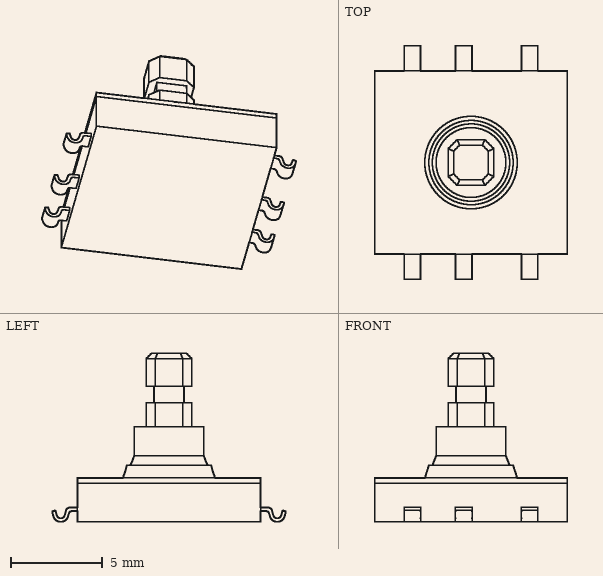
import cadquery as cq
import math

body_length_x = 10.5
body_width_y = 10.0
housing_height = 2.1
cover_top = 2.4

collar_base_diameter = 5.05
collar_top_diameter = 4.6
collar_top = 3.1

skirt_diameter = 4.22
barrel_diameter = 3.81
skirt_top = 3.61
barrel_top = 5.2
head_width = 2.5
head_corner_chamfer = 0.5
head_top_chamfer = 0.3
waist_width = 1.65
waist_bottom = 6.5
waist_top = 7.4
stem_top = 9.2

terminal_width = 0.9
terminal_reach = 1.38
terminal_thickness = 0.2
terminal_positions_x = (-3.2, -0.4, 3.2)
arm_top = 0.79
bowl_offset = 0.9
bowl_outer_radius = 0.42
flank_angle = math.radians(74)
bend_top_radius = 0.22
bend_bottom_radius = 0.17
tip_round = 0.05


def make_housing():
    return cq.Workplane("XY").box(body_length_x, body_width_y, housing_height, centered=(True, True, False))


def make_cover():
    """Flat plate with a solid tapered collar in its middle."""
    plate = (
        cq.Workplane("XY", origin=(0, 0, housing_height))
        .box(body_length_x, body_width_y, cover_top - housing_height, centered=(True, True, False))
    )
    collar = (
        cq.Workplane("XY", origin=(0, 0, cover_top))
        .circle(collar_base_diameter / 2)
        .workplane(offset=collar_top - cover_top)
        .circle(collar_top_diameter / 2)
        .loft()
    )
    return plate.union(collar)


def square_prism(width, bottom, top):
    """Square prism centred on the stem axis."""
    return cq.Workplane("XY", origin=(0, 0, bottom)).rect(width, width).extrude(top - bottom)


def make_stem():
    """Flared skirt and barrel, carrying a head that is cut back to a narrow waist."""
    round_base = (
        cq.Workplane("XZ")
        .moveTo(0, collar_top)
        .lineTo(skirt_diameter / 2, collar_top)
        .lineTo(barrel_diameter / 2, skirt_top)
        .lineTo(barrel_diameter / 2, barrel_top)
        .lineTo(0, barrel_top)
        .close()
        .revolve(360, (0, 0, 0), (0, 1, 0))
    )
    lower_head = square_prism(head_width, barrel_top, waist_bottom).edges("|Z").chamfer(head_corner_chamfer)
    waist = square_prism(waist_width, waist_bottom, waist_top)
    upper_head = (
        square_prism(head_width, waist_top, stem_top)
        .edges("|Z").chamfer(head_corner_chamfer)
        .faces(">Z").edges().chamfer(head_top_chamfer)
    )
    return round_base.union(lower_head).union(waist).union(upper_head)


def flank_point(radius, distance, side):
    """Point on a bowl flank, as (outward, up) from the housing's lower edge.

    radius is measured from the bowl centre, distance runs up the flank from the end
    of the bowl arc, and side is -1 for the flank by the housing or 1 for the tip flank.
    """
    outward = radius * math.sin(flank_angle) + distance * math.cos(flank_angle)
    up = bowl_outer_radius - radius * math.cos(flank_angle) + distance * math.sin(flank_angle)
    return (bowl_offset + side * outward, up)


def bend_points(radius, arm_height, bend_radius):
    """Both ends of the arc that joins the arm to the flank next to the housing."""
    arc_end_outward, arc_end_up = flank_point(radius, 0, -1)
    corner_distance = (arm_height - arc_end_up) / math.sin(flank_angle)
    corner_outward = arc_end_outward - corner_distance * math.cos(flank_angle)
    tangent_length = bend_radius * math.tan(flank_angle / 2)
    arm_end = (corner_outward - tangent_length, arm_height)
    flank_end = flank_point(radius, corner_distance - tangent_length, -1)
    return arm_end, flank_end


def make_terminal(position_x):
    """Formed strip on the +Y side of the housing."""
    bowl_inner_radius = bowl_outer_radius - terminal_thickness
    arm_bottom = arm_top - terminal_thickness
    top_arm_end, top_flank_end = bend_points(bowl_inner_radius, arm_top, bend_top_radius)
    bottom_arm_end, bottom_flank_end = bend_points(bowl_outer_radius, arm_bottom, bend_bottom_radius)

    rounding_centre_reach = terminal_reach - tip_round - bowl_offset
    rounding_centre_radius = bowl_outer_radius - tip_round
    straight_length = (
        (rounding_centre_reach - rounding_centre_radius * math.sin(flank_angle)) / math.cos(flank_angle)
    )
    tip_length = straight_length + tip_round

    profile = (
        cq.Workplane("YZ", origin=(position_x - terminal_width / 2, body_width_y / 2, 0))
        .moveTo(0, arm_top)
        .lineTo(*top_arm_end)
        .tangentArcPoint(top_flank_end, relative=False)
        .lineTo(*flank_point(bowl_inner_radius, 0, -1))
        .tangentArcPoint(flank_point(bowl_inner_radius, 0, 1), relative=False)
        .lineTo(*flank_point(bowl_inner_radius, straight_length, 1))
        .tangentArcPoint(flank_point(bowl_inner_radius + tip_round, tip_length, 1), relative=False)
        .lineTo(*flank_point(bowl_outer_radius - tip_round, tip_length, 1))
        .tangentArcPoint(flank_point(bowl_outer_radius, straight_length, 1), relative=False)
        .lineTo(*flank_point(bowl_outer_radius, 0, 1))
        .tangentArcPoint(flank_point(bowl_outer_radius, 0, -1), relative=False)
        .lineTo(*bottom_flank_end)
        .tangentArcPoint(bottom_arm_end, relative=False)
        .lineTo(0, arm_bottom)
        .close()
    )
    return profile.extrude(terminal_width)


housing = make_housing()
cover = make_cover()
stem = make_stem()

terminals = []
for position_x in terminal_positions_x:
    terminal = make_terminal(position_x)
    terminals.append(terminal.val())
    terminals.append(terminal.mirror("XZ").val())

result = cq.Compound.makeCompound([housing.val(), cover.val(), stem.val(), *terminals])